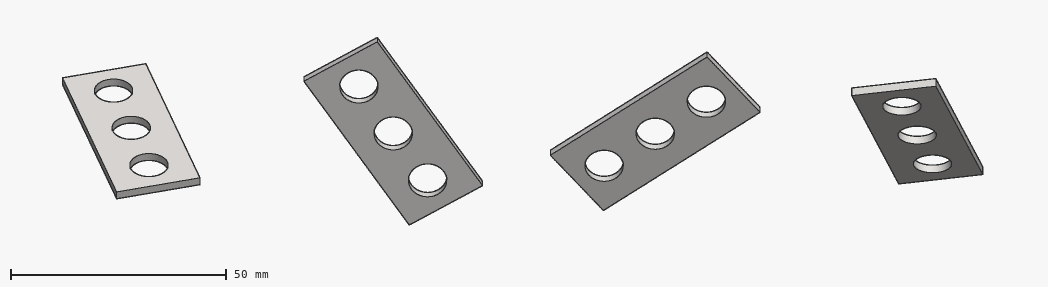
import cadquery as cq

length = 45.95
width = 20.1
thickness = 2.0

hole_count = 3
hole_diameter = 8.85
hole_pitch = 15.0

plate = cq.Workplane("XY").box(length, width, thickness)

result = (
    plate.faces(">Z")
    .workplane()
    .rarray(hole_pitch, 0.45, hole_count, 1)
    .hole(hole_diameter)
)